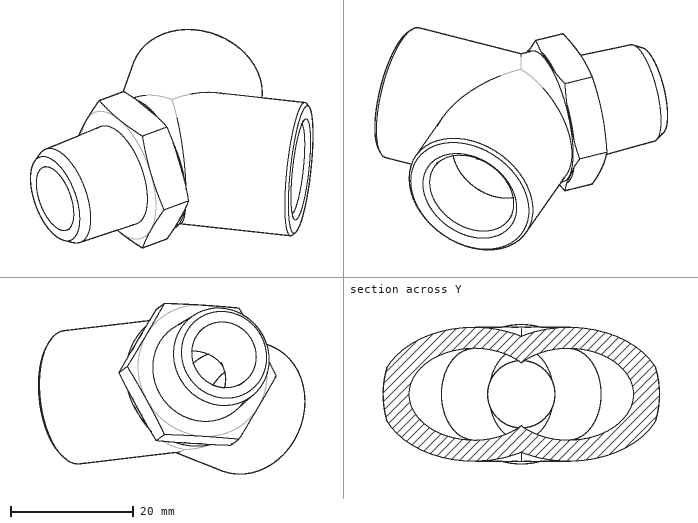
import math

import cadquery as cq


body_radius = 11.0
branch_angle = 45.0
mitre_slope = math.tan(math.radians(branch_angle / 2))
branch_length = 21.525
branch_edge_chamfer = 0.5

socket_radius = 14.95 / 2
socket_mouth_radius = 16.662 / 2
socket_mouth_depth = 0.8
inner_bore_radius = 15.0 / 2
inner_bore_length = 11.0

hex_across_flats = 2 * body_radius
hex_corner_radius = hex_across_flats / math.sqrt(3)
hex_back_y = -4.75
hex_front_y = -10.5
hex_chamfer_slope = math.tan(math.radians(15.0))
collar_radius = 11.445

stem_end_y = -23.0
stem_bore_radius = 11.0 / 2
stem_taper = 1.0 / 32
stem_root_radius = 8.5
stem_chamfer_length = 1.55
stem_chamfer_angle = 30.0


def revolve_about_y(points):
    """Revolve a closed (radius, y) outline a full turn about the Y axis."""
    return cq.Workplane("XY").polyline(points).close().revolve(360, (0, 0, 0), (0, 1, 0))


def place_branch(shape, side):
    """Turn a shape lying along +Y onto the branch axis; side is -1 or +1 in X."""
    return shape.rotate((0, 0, 0), (0, 0, 1), -side * branch_angle)


def branch_body(side):
    """Chamfered cylinder ending at its mitres with the other branch and with the neck."""
    cylinder = revolve_about_y([
        (0, -body_radius),
        (body_radius, -body_radius),
        (body_radius, branch_length - branch_edge_chamfer),
        (body_radius - branch_edge_chamfer, branch_length),
        (0, branch_length),
    ])
    sector = (
        cq.Workplane("XY")
        .polyline([
            (0, 0),
            (side * 2 * branch_length, -2 * branch_length * mitre_slope),
            (side * 2 * branch_length, 2 * branch_length),
            (0, 2 * branch_length),
        ])
        .close()
        .extrude(body_radius, both=True)
    )
    return place_branch(cylinder, side).intersect(sector)


def neck_body():
    """Cylinder from the hexagon up to its roof-shaped mitres with the branches."""
    cylinder = revolve_about_y([(0, hex_back_y), (body_radius, hex_back_y), (body_radius, 0), (0, 0)])
    mitre_foot_y = -body_radius * mitre_slope
    roof = (
        cq.Workplane("XY")
        .polyline([
            (0, 0),
            (body_radius, mitre_foot_y),
            (body_radius, hex_back_y),
            (-body_radius, hex_back_y),
            (-body_radius, mitre_foot_y),
        ])
        .close()
        .extrude(body_radius, both=True)
    )
    return cylinder.intersect(roof)


def hexagon():
    """Hexagon with both faces chamfered by shallow cones starting at the flats."""
    prism = (
        cq.Workplane("XZ", origin=(0, hex_back_y, 0))
        .polygon(6, 2 * hex_corner_radius)
        .extrude(hex_back_y - hex_front_y)
    )
    corner_drop = (hex_corner_radius - body_radius) * hex_chamfer_slope
    envelope = revolve_about_y([
        (0, hex_front_y),
        (body_radius, hex_front_y),
        (hex_corner_radius, hex_front_y + corner_drop),
        (hex_corner_radius, hex_back_y - corner_drop),
        (body_radius, hex_back_y),
        (0, hex_back_y),
    ])
    return prism.intersect(envelope)


def collar():
    """Thin conical collar at the back of the hexagon, standing proud of its flats."""
    rim_y = hex_back_y - (collar_radius - body_radius) * hex_chamfer_slope
    return revolve_about_y([(0, rim_y), (collar_radius, rim_y), (body_radius, hex_back_y), (0, hex_back_y)])


def stem_body():
    """Tapered male stem with a chamfered end."""
    chamfer_y = stem_end_y + stem_chamfer_length
    chamfer_radius = stem_root_radius - (hex_front_y - chamfer_y) * stem_taper
    end_radius = chamfer_radius - stem_chamfer_length * math.tan(math.radians(stem_chamfer_angle))
    return revolve_about_y([
        (0, hex_front_y),
        (stem_root_radius, hex_front_y),
        (chamfer_radius, chamfer_y),
        (end_radius, stem_end_y),
        (0, stem_end_y),
    ])


def branch_bore(side):
    """Inner bore, thread socket and countersunk mouth of one branch."""
    bore = revolve_about_y([
        (0, 0),
        (inner_bore_radius, 0),
        (inner_bore_radius, inner_bore_length),
        (socket_radius, inner_bore_length),
        (socket_radius, branch_length - socket_mouth_depth),
        (socket_mouth_radius, branch_length),
        (0, branch_length),
    ])
    return place_branch(bore, side)


def stem_bore():
    """Straight bore from the stem end to the meeting point of the axes."""
    return revolve_about_y([(0, stem_end_y), (stem_bore_radius, stem_end_y), (stem_bore_radius, 0), (0, 0)])


result = neck_body().union(hexagon()).union(collar()).union(stem_body())
for branch_side in (-1, 1):
    result = result.union(branch_body(branch_side))
for branch_side in (-1, 1):
    result = result.cut(branch_bore(branch_side))
result = result.cut(stem_bore())